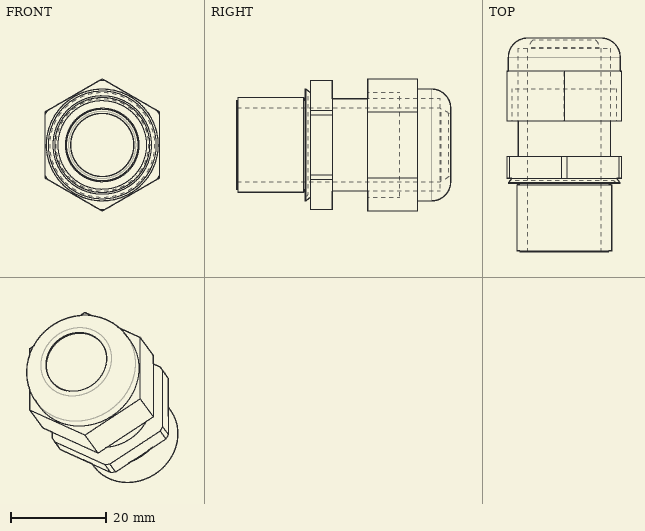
import cadquery as cq
import math

ACROSS_FLATS = 24.0
BORE_RADIUS = 7.72

THREAD_RADIUS = 9.95
THREAD_ROOT_RADIUS = 9.3
THREAD_STEP_LENGTH = 0.25
THREAD_CHAMFER_LENGTH = 0.25
THREAD_END_Y = 14.32
BODY_HEX_START_Y = 15.45
BODY_HEX_LENGTH = 4.62
BODY_HEX_CORNER_DISTANCE = 13.55
NECK_RADIUS = 9.7
BODY_END_Y = 42.65

LIP_RADIUS = 11.7
LIP_BASE_RADIUS = 11.0
LIP_START_Y = 14.35
LIP_RIM_THICKNESS = 0.2
LIP_INNER_RADIUS = 11.3
LIP_FLOOR_RADIUS = 10.33
LIP_FLOOR_Y = 15.0

TOTAL_LENGTH = 44.9
NUT_START_Y = 27.45
NUT_HEX_LENGTH = 10.5
DOME_RADIUS = 11.75
DOME_FILLET = 4.1
MOUTH_RADIUS = 11.0
MOUTH_DEPTH = 6.75

OPENING_RADIUS = 6.6
OPENING_CHAMFER = 0.22
OPENING_TAPER_LENGTH = 1.0
OPENING_TAPER_END_RADIUS = 7.05
OPENING_ARC_LENGTH = 0.55
OPENING_ARC_MID_LENGTH = 0.3
OPENING_ARC_MID_RADIUS = 6.85


def cylinder(radius, start_y, length):
    """Cylinder along +Y from start_y."""
    return cq.Workplane("XZ", origin=(0, start_y, 0)).circle(radius).extrude(-length)


def hex_corner_diameter(across_flats):
    """Diameter across the corners of a regular hexagon."""
    return across_flats / math.cos(math.radians(30))


def hex_prism(start_y, length):
    """Hexagon along +Y with flats facing +X and -X."""
    return (
        cq.Workplane("XZ", origin=(0, start_y, 0))
        .transformed(rotate=(0, 0, 90))
        .polygon(6, hex_corner_diameter(ACROSS_FLATS))
        .extrude(-length)
    )


def revolve_about_y(profile):
    """Turn an XY half profile around the Y axis."""
    return profile.close().revolve(360, (0, 0, 0), (0, 1, 0))


def make_thread():
    """Plain thread cylinder with a stepped free end, a chamfered inner end and a relief up to the hexagon."""
    return revolve_about_y(
        cq.Workplane("XY").polyline([
            (0, 0),
            (THREAD_ROOT_RADIUS, 0),
            (THREAD_ROOT_RADIUS, THREAD_STEP_LENGTH),
            (THREAD_RADIUS, THREAD_STEP_LENGTH),
            (THREAD_RADIUS, THREAD_END_Y - THREAD_CHAMFER_LENGTH),
            (THREAD_ROOT_RADIUS, THREAD_END_Y),
            (THREAD_ROOT_RADIUS, BODY_HEX_START_Y),
            (0, BODY_HEX_START_Y),
        ])
    )


def make_sealing_lip():
    """Disc against the hexagon whose thin conical lip flares towards the thread."""
    return revolve_about_y(
        cq.Workplane("XY").polyline([
            (0, BODY_HEX_START_Y),
            (0, LIP_FLOOR_Y),
            (LIP_FLOOR_RADIUS, LIP_FLOOR_Y),
            (LIP_INNER_RADIUS, LIP_START_Y),
            (LIP_RADIUS, LIP_START_Y),
            (LIP_RADIUS, LIP_START_Y + LIP_RIM_THICKNESS),
            (LIP_BASE_RADIUS, BODY_HEX_START_Y),
        ])
    )


def make_body_hex():
    """Hexagon whose corners are cut to narrow flats."""
    corner_cutter = (
        cq.Workplane("XZ", origin=(0, BODY_HEX_START_Y, 0))
        .polygon(6, hex_corner_diameter(2 * BODY_HEX_CORNER_DISTANCE))
        .extrude(-BODY_HEX_LENGTH)
    )
    return hex_prism(BODY_HEX_START_Y, BODY_HEX_LENGTH).intersect(corner_cutter)


def make_body():
    """Gland body: thread, lip, hexagon and neck around a through bore."""
    neck = cylinder(NECK_RADIUS, BODY_HEX_START_Y, BODY_END_Y - BODY_HEX_START_Y)
    outside = make_body_hex().union(neck).union(make_thread()).union(make_sealing_lip())
    return outside.cut(cylinder(BORE_RADIUS, 0, BODY_END_Y))


def make_nut_opening():
    """Opening that narrows by a chamfer, a taper and an arc to the outer end."""
    chamfer_end_y = BODY_END_Y + OPENING_CHAMFER
    taper_end_y = chamfer_end_y + OPENING_TAPER_LENGTH
    arc_end_y = taper_end_y + OPENING_ARC_LENGTH
    arc_mid = (OPENING_ARC_MID_RADIUS, taper_end_y + OPENING_ARC_MID_LENGTH)
    return revolve_about_y(
        cq.Workplane("XY")
        .moveTo(0, BODY_END_Y)
        .lineTo(BORE_RADIUS, BODY_END_Y)
        .lineTo(BORE_RADIUS - OPENING_CHAMFER, chamfer_end_y)
        .lineTo(OPENING_TAPER_END_RADIUS, taper_end_y)
        .threePointArc(arc_mid, (OPENING_RADIUS, arc_end_y))
        .lineTo(OPENING_RADIUS, TOTAL_LENGTH)
        .lineTo(0, TOTAL_LENGTH)
    )


def make_dome_nut():
    """Hexagonal dome nut that fits over the end of the body neck."""
    dome = cylinder(DOME_RADIUS, NUT_START_Y, TOTAL_LENGTH - NUT_START_Y)
    dome = dome.faces(">Y").edges().fillet(DOME_FILLET)
    neck_socket = cylinder(NECK_RADIUS, NUT_START_Y, BODY_END_Y - NUT_START_Y)
    mouth = cylinder(MOUTH_RADIUS, NUT_START_Y, MOUTH_DEPTH)
    outside = hex_prism(NUT_START_Y, NUT_HEX_LENGTH).union(dome)
    return outside.cut(neck_socket).cut(mouth).cut(make_nut_opening())


body = make_body()
dome_nut = make_dome_nut()
result = cq.Compound.makeCompound([body.val(), dome_nut.val()])